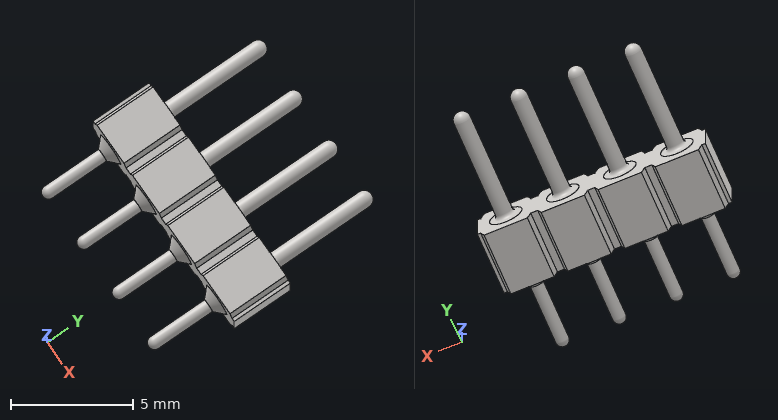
import cadquery as cq
import math


pin_count = 4
row_length = 10.16
pitch = row_length / pin_count

housing_depth = 2.8
housing_height = 2.54
notch_depth = 0.4
notch_mouth_width = 0.61
notch_floor_width = 0.31

overall_length = 11.13
front_length = 3.4
rear_length = overall_length - housing_depth - front_length
collar_radius = 0.72
cone_base_radius = 0.68
cone_base_offset = 0.03
front_pin_radius = 0.3
rear_pin_radius = 0.38
rear_fillet = 0.2
cone_length = cone_base_radius - front_pin_radius

pin_positions = [(i + 0.5) * pitch - row_length / 2 for i in range(pin_count)]


def make_notch(x, side):
    """Tapered groove along Y, cut into the top (side = 1) or bottom (side = -1)."""
    mouth_z = side * housing_height / 2
    floor_z = side * (housing_height / 2 - notch_depth)
    return (
        cq.Workplane("XZ")
        .polyline([
            (x - notch_mouth_width / 2, mouth_z),
            (x - notch_floor_width / 2, floor_z),
            (x + notch_floor_width / 2, floor_z),
            (x + notch_mouth_width / 2, mouth_z),
        ])
        .close()
        .extrude(-housing_depth)
    )


def make_housing():
    """Block with a notch at every cell boundary and a through hole for each pin."""
    block = cq.Workplane("XZ").rect(row_length, housing_height).extrude(-housing_depth)
    for i in range(pin_count + 1):
        x = i * pitch - row_length / 2
        for side in (1, -1):
            block = block.cut(make_notch(x, side))
    holes = (
        cq.Workplane("XZ")
        .pushPoints([(x, 0) for x in pin_positions])
        .circle(collar_radius)
        .extrude(-housing_depth)
    )
    return block.cut(holes)


def make_pin(x):
    """Turned pin: domed front tail, cone flaring into the collar in the housing, domed rear tail."""
    front_tip = -front_length
    rear_tip = housing_depth + rear_length
    half_arc = math.cos(math.pi / 4)
    fillet_centre_radius = rear_pin_radius + rear_fillet
    fillet_end = housing_depth + rear_fillet
    profile = (
        cq.Workplane("XY")
        .moveTo(0, front_tip)
        .threePointArc(
            (front_pin_radius * half_arc, front_tip + front_pin_radius * (1 - half_arc)),
            (front_pin_radius, front_tip + front_pin_radius),
        )
        .lineTo(front_pin_radius, -cone_base_offset - cone_length)
        .lineTo(cone_base_radius, -cone_base_offset)
        .lineTo(collar_radius, 0)
        .lineTo(collar_radius, housing_depth)
        .lineTo(fillet_centre_radius, housing_depth)
        .threePointArc(
            (fillet_centre_radius - rear_fillet * half_arc, fillet_end - rear_fillet * half_arc),
            (rear_pin_radius, fillet_end),
        )
        .lineTo(rear_pin_radius, rear_tip - rear_pin_radius)
        .threePointArc(
            (rear_pin_radius * half_arc, rear_tip - rear_pin_radius * (1 - half_arc)),
            (0, rear_tip),
        )
        .close()
    )
    return profile.revolve(360, (0, 0, 0), (0, 1, 0)).translate((x, 0, 0))


housing = make_housing()
pins = [make_pin(x) for x in pin_positions]

result = cq.Compound.makeCompound([housing.val(), *[pin.val() for pin in pins]])